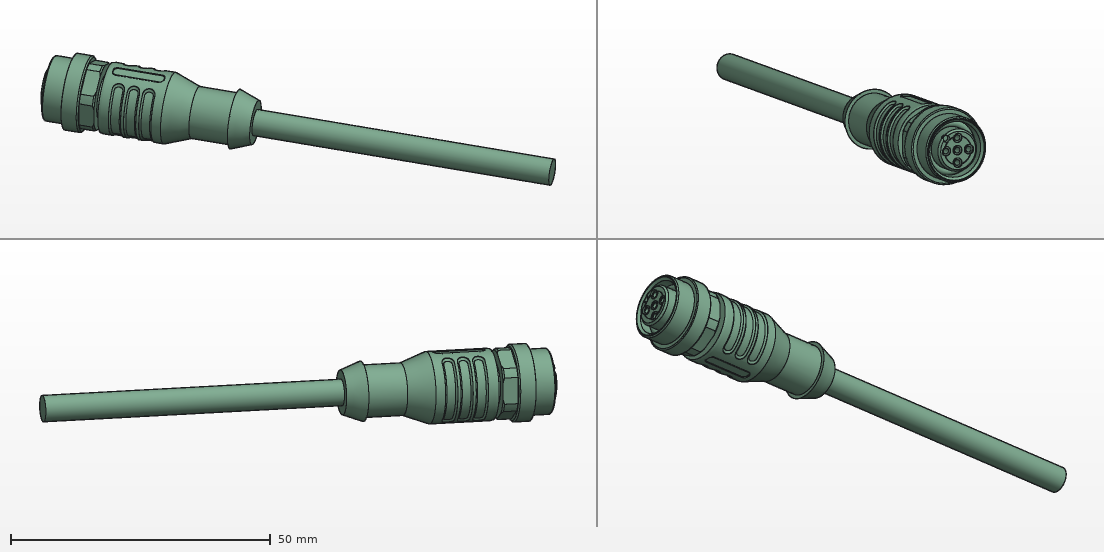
import cadquery as cq
import math

nut_front_x = 0.8
nut_front_diameter = 12.8
nut_front_chamfer = 0.25
nut_bore_diameter = 10.9
nut_bore_depth = 3.0
nut_mouth_chamfer = 0.5
collar_start_x = 4.9
collar_end_x = 8.4
collar_diameter = 15.0
collar_chamfer = 0.3
collar_front_chamfer_length = 0.1
hex_end_x = 11.3
hex_round_diameter = 13.8
hex_across_flats = 12.8
hex_chamfer = 0.3

insert_diameter = 8.3
insert_chamfer = 0.4
seal_center_diameter = 9.4
face_recess_diameter = 5.7
face_recess_depth = 0.2
neck_diameter = 8.7
contact_diameter = 1.1
contact_depth = 3.0
contact_recess_diameter = 1.8
contact_recess_depth = 0.4
contact_circle_radius = 2.4
outer_contact_count = 4
key_diameter = 1.3
key_circle_radius = 3.4
key_angle = 45
key_depth = 1.0

grip_start_x = 12.2
grip_front_length = 0.6
grip_front_diameter = 13.8
grip_diameter = 14.0
cone_start_x = 24.7
cone_end_x = 29.9
sleeve_diameter = 10.2
flange_start_x = 37.8
flange_diameter = 11.7
flange_end_x = 41.8
flange_end_diameter = 8.7

total_length = 101
cable_diameter = 5.2

groove_first_x = 15.6
groove_pitch = 3.0
groove_count = 3
groove_width = 2.4
groove_depth = 0.4
groove_wall_slope = 0.35
groove_end_y = 2.9
label_start_x = 13.4
label_end_x = 23.6
label_width = 2.2
label_corner_radius = 0.8
label_depth = 0.3


def rod(start_x, end_x, diameter):
    """Solid cylinder along X."""
    return cq.Workplane("YZ", origin=(start_x, 0, 0)).circle(diameter / 2).extrude(end_x - start_x)


def coupling_nut():
    """Round front, collar and rounded hexagon, bored from the front."""
    front = rod(nut_front_x, collar_start_x, nut_front_diameter).faces("<X").chamfer(nut_front_chamfer)
    collar = rod(collar_start_x, collar_end_x, collar_diameter).faces(">X").chamfer(collar_chamfer)
    collar = collar.faces("<X").chamfer(collar_front_chamfer_length, collar_chamfer)
    hex_envelope = rod(collar_end_x, hex_end_x, hex_round_diameter).faces(">X").chamfer(hex_chamfer)
    hexagon = (
        cq.Workplane("YZ", origin=(collar_end_x, 0, 0))
        .polygon(6, hex_across_flats, circumscribed=True)
        .extrude(hex_end_x - collar_end_x)
        .intersect(hex_envelope)
    )
    bore = rod(nut_front_x, nut_front_x + nut_bore_depth, nut_bore_diameter)
    nut = front.union(collar).union(hexagon).cut(bore)
    mouth_edge = cq.selectors.RadiusNthSelector(0)
    return nut.faces("<X").edges(mouth_edge).chamfer(nut_mouth_chamfer)


def seal_ring():
    """O-ring around the insert, resting on the floor of the nut bore."""
    ring_radius = seal_center_diameter / 2
    tube_radius = (nut_bore_diameter - seal_center_diameter) / 2
    floor_x = nut_front_x + nut_bore_depth
    ring = cq.Solid.makeTorus(ring_radius, tube_radius, cq.Vector(floor_x, 0, 0), cq.Vector(1, 0, 0))
    return cq.Workplane(ring)


def insert():
    """Contact carrier with contacts in a shallow face recess, a key notch and a rear neck."""
    spots = [(0, 0)]
    for index in range(outer_contact_count):
        angle = 2 * math.pi * index / outer_contact_count
        spots.append((contact_circle_radius * math.cos(angle), contact_circle_radius * math.sin(angle)))
    key_y = key_circle_radius * math.cos(math.radians(key_angle))
    key_z = key_circle_radius * math.sin(math.radians(key_angle))
    body = rod(0, hex_end_x, insert_diameter).faces("<X").chamfer(insert_chamfer)
    neck = rod(hex_end_x, grip_start_x, neck_diameter)
    face_recess = rod(0, face_recess_depth, face_recess_diameter)
    layout = cq.Workplane("YZ").pushPoints(spots)
    contacts = layout.circle(contact_diameter / 2).extrude(contact_depth)
    recesses = layout.circle(contact_recess_diameter / 2).extrude(contact_recess_depth)
    key = cq.Workplane("YZ").center(key_y, key_z).circle(key_diameter / 2).extrude(key_depth)
    return body.union(neck).cut(face_recess).cut(contacts).cut(recesses).cut(key)


def grip():
    """Turned grip body, sleeve and rear flange."""
    profile = [
        (grip_start_x, 0),
        (grip_start_x, grip_front_diameter / 2),
        (grip_start_x + grip_front_length, grip_diameter / 2),
        (cone_start_x, grip_diameter / 2),
        (cone_end_x, sleeve_diameter / 2),
        (flange_start_x, sleeve_diameter / 2),
        (flange_start_x, flange_diameter / 2),
        (flange_end_x, flange_end_diameter / 2),
        (flange_end_x, 0),
    ]
    return cq.Workplane("XY").polyline(profile).close().revolve(360, (0, 0, 0), (1, 0, 0))


def groove_cutter(center_x, side):
    """Round-ended groove wrapped around one side of the grip, with sloping walls."""
    reach = grip_diameter
    outline = (
        cq.Workplane("XY", origin=(center_x, side * reach, -reach))
        .slot2D(2 * (reach - groove_end_y), groove_width, 90)
        .extrude(2 * reach)
    )
    floor = rod(grip_start_x, cone_start_x, grip_diameter - 2 * groove_depth)
    shell = rod(grip_start_x, cone_start_x, grip_diameter + 2 * groove_depth).cut(floor)
    floor_face = cq.selectors.NearestToPointSelector((center_x, 0, 0))
    return outline.intersect(shell).faces(floor_face).edges().chamfer(groove_wall_slope)


def label_cutter():
    """Flat-bottomed pocket with rounded corners, for the top of the grip."""
    length = label_end_x - label_start_x
    floor_z = grip_diameter / 2 - label_depth
    return (
        cq.Workplane("XY", origin=(label_start_x + length / 2, 0, floor_z))
        .rect(length, label_width)
        .extrude(2 * label_depth)
        .edges("|Z")
        .fillet(label_corner_radius)
    )


cable = rod(flange_end_x, total_length, cable_diameter)
result = coupling_nut().union(insert()).union(seal_ring()).union(grip()).union(cable)

for index in range(groove_count):
    for side in (-1, 1):
        result = result.cut(groove_cutter(groove_first_x + index * groove_pitch, side))

label = label_cutter()
result = result.cut(label).cut(label.mirror("XY"))